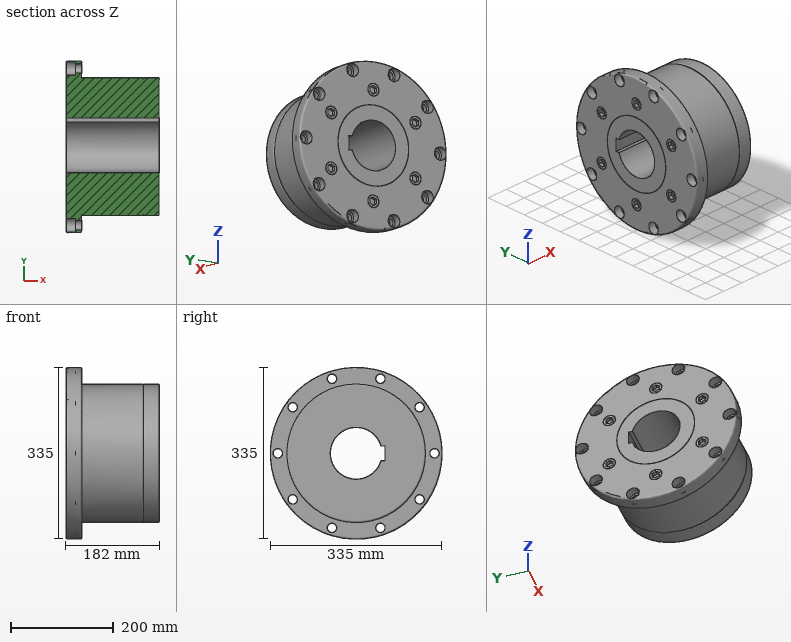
import cadquery as cq
import math

total_length = 182.0
flange_diameter = 335.0
flange_thickness = 30.8
body_diameter = 270.0
cover_start = 151.0

flange_front_round = 4.0
edge_round = 3.0
cover_joint_round = 2.0

bore_diameter = 100.5
keyway_width = 28.5
keyway_reach = 56.0

hub_diameter = 160.8
hub_groove_width = 0.5
hub_groove_depth = 0.5

mount_count = 10
mount_circle_radius = 152.8
mount_hole_diameter = 17.8
mount_counterbore_diameter = 26.0
mount_counterbore_depth = 18.0

screw_count = 6
screw_circle_radius = 111.0
screw_pocket_diameter = 25.5
screw_head_diameter = 24.5
screw_gap_depth = 6.7
socket_sides = 6
socket_across_flats = 14.5
socket_depth = 8.0


def disc(diameter, start, end):
    """Cylinder on the X axis between two X positions."""
    return cq.Workplane("YZ", origin=(start, 0, 0)).circle(diameter / 2).extrude(end - start)


def circle_points(radius, count, first_angle):
    """Evenly spaced (Y, Z) points on a circle about the X axis."""
    angles = [math.radians(first_angle + 360 * i / count) for i in range(count)]
    return [(radius * math.cos(angle), radius * math.sin(angle)) for angle in angles]


def make_housing():
    """Flange, body and end cover, with rounded edges forming grooves at the joints."""
    flange = disc(flange_diameter, 0, flange_thickness)
    flange = flange.edges("<X").fillet(flange_front_round).edges(">X").fillet(edge_round)
    body = disc(body_diameter, flange_thickness, cover_start).edges("<X or >X").fillet(edge_round)
    cover = disc(body_diameter, cover_start, total_length)
    cover = cover.edges("<X").fillet(cover_joint_round).edges(">X").fillet(edge_round)
    return flange.union(body).union(cover)


def make_bore():
    """Through bore with a keyway on the +Y side."""
    keyway = cq.Workplane("XY").box(
        total_length, keyway_reach, keyway_width, centered=(False, False, True)
    )
    return disc(bore_diameter, 0, total_length).union(keyway)


def make_hub_groove():
    """Hairline ring groove between the hub and the flange face."""
    outer_diameter = hub_diameter + 2 * hub_groove_width
    return disc(outer_diameter, 0, hub_groove_depth).cut(disc(hub_diameter, 0, hub_groove_depth))


def make_mount_holes():
    """Through holes in the flange, counterbored from its face."""
    points = circle_points(mount_circle_radius, mount_count, 0)
    face = cq.Workplane("YZ").pushPoints(points)
    holes = face.circle(mount_hole_diameter / 2).extrude(flange_thickness)
    counterbores = face.circle(mount_counterbore_diameter / 2).extrude(mount_counterbore_depth)
    return holes.union(counterbores)


def make_screw_recesses():
    """Ring gaps around the screw heads and the hexagon sockets, with corners along Z."""
    points = circle_points(screw_circle_radius, screw_count, 90)
    face = cq.Workplane("YZ").pushPoints(points)
    pockets = face.circle(screw_pocket_diameter / 2).extrude(screw_gap_depth)
    heads = face.circle(screw_head_diameter / 2).extrude(screw_gap_depth)
    corners = circle_points(socket_across_flats / math.sqrt(3), socket_sides, 90)
    socket = cq.Workplane("YZ").polyline(corners).close().extrude(socket_depth)
    recesses = pockets.cut(heads)
    for y, z in points:
        recesses = recesses.union(socket.translate((0, y, z)))
    return recesses


result = (
    make_housing()
    .cut(make_bore())
    .cut(make_hub_groove())
    .cut(make_mount_holes())
    .cut(make_screw_recesses())
)